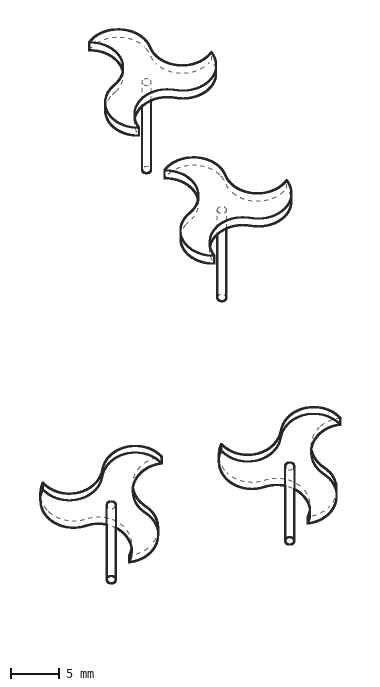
import cadquery as cq
import math

arm_count = 3
arm_angle = 360 / arm_count
tip_radius = 7.4
tip_direction = 90
arc_radius = 3.47
junction_radius = 3.7
junction_direction = tip_direction - arm_angle / 2
plate_thickness = 1.28

total_height = 15.35
post_diameter = 0.95

stud_count = 2
stud_pitch = 19.2


def polar(radius, degrees):
    angle = math.radians(degrees)
    return radius * math.cos(angle), radius * math.sin(angle)


def arc_middle(start, end):
    """Middle of the minor arc from start to end, bulging to the left of travel."""
    dx = end[0] - start[0]
    dy = end[1] - start[1]
    chord = math.hypot(dx, dy)
    bulge = arc_radius - math.sqrt(arc_radius**2 - (chord / 2) ** 2)
    middle_x = (start[0] + end[0]) / 2 - dy / chord * bulge
    middle_y = (start[1] + end[1]) / 2 + dx / chord * bulge
    return middle_x, middle_y


def make_plate():
    outline = cq.Workplane("XY").moveTo(*polar(tip_radius, tip_direction))
    for arm in range(arm_count):
        turn = -arm * arm_angle
        tip = polar(tip_radius, tip_direction + turn)
        junction = polar(junction_radius, junction_direction + turn)
        next_tip = polar(tip_radius, tip_direction + turn - arm_angle)
        outline = outline.threePointArc(arc_middle(tip, junction), junction)
        outline = outline.threePointArc(arc_middle(next_tip, junction), next_tip)
    return outline.close().extrude(-plate_thickness)


def make_stud():
    """Plate and post in one piece, with the plate top at Z = 0."""
    post = cq.Workplane("XY").circle(post_diameter / 2).extrude(-total_height)
    return make_plate().union(post)


studs = []
for index in range(stud_count):
    offset = (index - (stud_count - 1) / 2) * stud_pitch
    studs.append(make_stud().translate((offset, 0, 0)).val())

result = cq.Compound.makeCompound(studs)